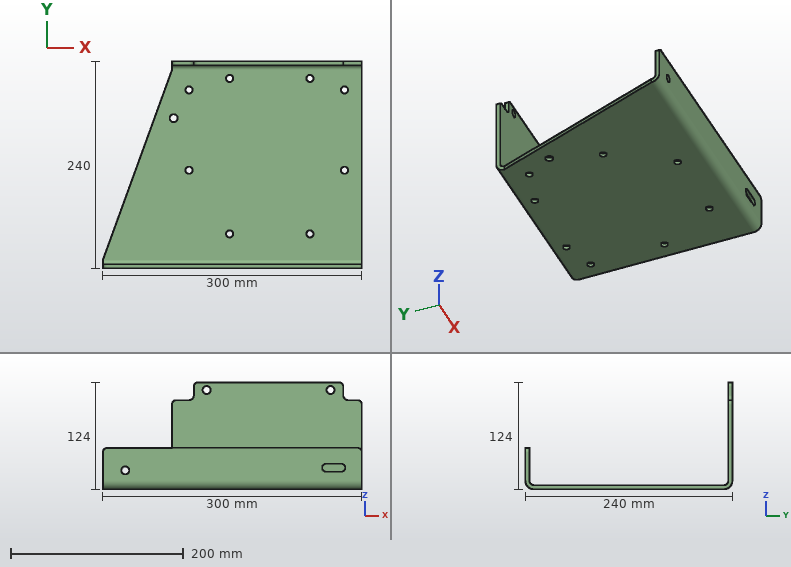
import cadquery as cq

sheet = 5.0
outer_bend_radius = 10.0
inner_bend_radius = outer_bend_radius - sheet
length = 300.0
depth = 240.0

rear_start = 80.0
rear_shoulder_height = 103.4
rear_height = 124.0
tab_start = 105.3
tab_end = 278.5
tab_hole_spacing = 143.5
tab_hole_drop = 9.0

front_height = 48.0
front_hole_x = 26.0
front_hole_z = 22.0
slot_x = 267.3
slot_z = 25.0
slot_length = 27.0

pattern_long = 180.0
pattern_short = 93.0
tall_pattern_center = (193.3, 130.0)
wide_pattern_center = (189.8, 160.2)
extra_hole_position = (82.0, 174.0)

corner_radius = 5.0
inside_corner_radius = 5.5
flange_hole_diameter = 9.0
extra_hole_diameter = 9.0
floor_hole_diameter = 8.0


def bent_channel():
    """U-shaped sheet profile in YZ, run along the full length in X, open at the top.

    The blocks are twice the wall height tall and sit on the floor, so both walls reach full height.
    """
    outer = cq.Workplane("YZ").rect(depth, 2 * rear_height).extrude(length)
    outer = outer.translate((0, depth / 2, rear_height))
    outer = outer.edges("|X and <Z").fillet(outer_bend_radius)
    inner = cq.Workplane("YZ").rect(depth - 2 * sheet, 2 * rear_height).extrude(length)
    inner = inner.translate((0, depth / 2, rear_height + sheet))
    inner = inner.edges("|X and <Z").fillet(inner_bend_radius)
    return outer.cut(inner)


def floor_outline():
    """Plan shape: the left edge slants between the two bends."""
    outline = [
        (0, 0),
        (length, 0),
        (length, depth),
        (rear_start, depth),
        (rear_start, depth - outer_bend_radius),
        (0, outer_bend_radius),
    ]
    return cq.Workplane("XY").polyline(outline).close().extrude(rear_height)


def front_outline():
    """Front flange elevation with rounded top corners, filling the front half of the depth."""
    plate = cq.Workplane("XZ").rect(length, front_height, centered=False).extrude(-depth / 2)
    return plate.edges("|Y and >Z").fillet(corner_radius)


def round_corners(plate, corners, radius):
    """Fillet the edges that run along Y through the given (x, z) corners."""
    edge_middle_y = 3 * depth / 4
    for x, z in corners:
        nearest_edge = cq.selectors.NearestToPointSelector((x, edge_middle_y, z))
        plate = plate.edges("|Y").edges(nearest_edge).fillet(radius)
    return plate


def rear_outline():
    """Rear flange elevation: a raised tab between two shoulders, above the full-width floor."""
    outline = [
        (0, 0),
        (length, 0),
        (length, rear_shoulder_height),
        (tab_end, rear_shoulder_height),
        (tab_end, rear_height),
        (tab_start, rear_height),
        (tab_start, rear_shoulder_height),
        (rear_start, rear_shoulder_height),
        (rear_start, outer_bend_radius),
        (0, outer_bend_radius),
    ]
    plate = cq.Workplane("XZ", origin=(0, depth / 2, 0))
    plate = plate.polyline(outline).close().extrude(-depth / 2)
    inside_corners = [(tab_start, rear_shoulder_height), (tab_end, rear_shoulder_height)]
    outside_corners = [
        (rear_start, rear_shoulder_height),
        (tab_start, rear_height),
        (tab_end, rear_height),
        (length, rear_shoulder_height),
    ]
    plate = round_corners(plate, inside_corners, inside_corner_radius)
    return round_corners(plate, outside_corners, corner_radius)


def floor_hole_pattern(center, width, height):
    """Cutters for four floor holes at the corners of a rectangle."""
    corners = cq.Workplane("XY").center(*center).rect(width, height, forConstruction=True).vertices()
    return corners.circle(floor_hole_diameter / 2).extrude(sheet)


def floor_holes():
    """Cutters for the nine holes through the floor."""
    tall = floor_hole_pattern(tall_pattern_center, pattern_short, pattern_long)
    wide = floor_hole_pattern(wide_pattern_center, pattern_long, pattern_short)
    extra = cq.Workplane("XY").center(*extra_hole_position).circle(extra_hole_diameter / 2).extrude(sheet)
    return tall.union(wide).union(extra)


def front_holes():
    """Cutters for the round hole and the slot in the front flange."""
    hole = cq.Workplane("XZ").center(front_hole_x, front_hole_z)
    hole = hole.circle(flange_hole_diameter / 2).extrude(-sheet)
    slot = cq.Workplane("XZ").center(slot_x, slot_z)
    slot = slot.slot2D(slot_length, flange_hole_diameter).extrude(-sheet)
    return hole.union(slot)


def rear_holes():
    """Cutters for the two holes in the rear tab, centred on the tab."""
    tab_middle = (tab_start + tab_end) / 2
    return (
        cq.Workplane("XZ", origin=(tab_middle, depth, rear_height - tab_hole_drop))
        .pushPoints([(-tab_hole_spacing / 2, 0), (tab_hole_spacing / 2, 0)])
        .circle(flange_hole_diameter / 2).extrude(sheet)
    )


elevations = front_outline().union(rear_outline())
result = bent_channel().intersect(floor_outline()).intersect(elevations)
result = result.cut(floor_holes()).cut(front_holes()).cut(rear_holes())